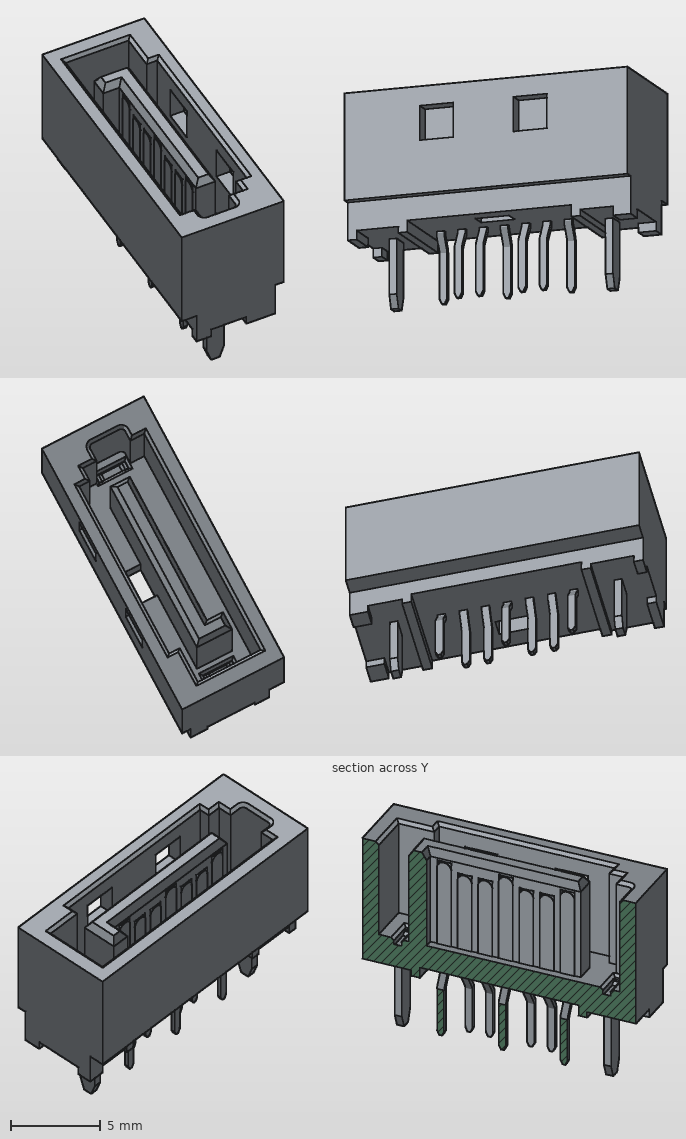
import cadquery as cq
import math


LENGTH = 16.9
WIDTH = 6.45
TOP_Z = 8.38
HALF_LENGTH = LENGTH / 2
HALF_WIDTH = WIDTH / 2

FRONT_LEDGE_Z = TOP_Z - 6.42
BACK_LEDGE_Z = TOP_Z - 6.2
FRONT_INSET = 0.94
BACK_INSET = 0.53
BASE_FRONT_Y = -HALF_WIDTH + FRONT_INSET
BASE_BACK_Y = HALF_WIDTH - BACK_INSET

SIDE_RECESS_Z = 0.52
CENTRE_RECESS_Z = 0.83
RIB_Z = 0.16
LEFT_FOOT_X = -7.4
RIGHT_FOOT_X = 7.92
RIB_OUTER_X = 5.43
RIB_INNER_X = 4.9
FOOT_GAP_FRONT_Y = -1.37
LEFT_FOOT_GAP_BACK_Y = 1.61
RIGHT_FOOT_GAP_BACK_Y = 0.86

FLOOR_Z = TOP_Z - 6.0
LEAD_IN = 0.2
CAVITY_LEFT_X = -7.42
CAVITY_FRONT_Y = -2.27
CAVITY_SHOULDER_Y = 1.69
CAVITY_BACK_Y = 2.36
BACK_BAY_LEFT_X = -5.23
BACK_BAY_RIGHT_X = 5.59
CAVITY_RIGHT_BACK_X = 6.43
CAVITY_RIGHT_FRONT_X = 6.58
TAB_RIGHT_X = 7.44
TAB_BACK_Y = 0.81
TAB_FRONT_Y = -1.39
TAB_RADIUS = 0.25

WINDOW_WIDTH = 2.0
WINDOW_HEIGHT = 2.0
WINDOW_TOP_Z = TOP_Z - 1.13
WINDOW_CENTRE_X = 0.15
WINDOW_OFFSET = 2.8
FLOOR_SLOT_WIDTH = 2.0
FLOOR_SLOT_TOP_Y = 1.75
FLOOR_SLOT_BOTTOM_Y = 1.69

TONGUE_LEFT_X = -5.59
TONGUE_RIGHT_X = 4.82
TONGUE_BACK_Y = 0.79
TONGUE_FRONT_Y = -0.43
KEY_RIGHT_X = -4.47
KEY_FRONT_Y = -1.44
TONGUE_BEVEL = 0.29
TONGUE_BEVEL_HEIGHT = 0.45

CONTACT_COUNT = 7
CONTACT_PITCH = 1.27
CONTACT_CENTRE_X = 0.19
CONTACT_THICKNESS = 0.25
BLADE_WIDTH = 0.88
BLADE_STANDOFF = 0.03
BLADE_TIP_RADIUS = 0.42
TIP_GAP = 0.05
LONG_GROOVE_Z = TOP_Z - 0.6
SHORT_GROOVE_Z = TOP_Z - 1.13
BLADE_FRONT_Y = TONGUE_FRONT_Y - BLADE_STANDOFF
BLADE_BACK_Y = BLADE_FRONT_Y + CONTACT_THICKNESS

TAIL_WIDTH = 0.45
TAIL_END_Z = TOP_Z - 11.63
TAIL_POINT_LENGTH = 0.27
TAIL_POINT_WIDTH = 0.18
FRONT_TAIL_FACE_Y = -0.915
BACK_TAIL_FACE_Y = 0.36
BEND_TOP_Z = TOP_Z - 7.755
FRONT_BEND_DROP = 0.835
BACK_BEND_DROP = 0.94
BEND_INNER_RADIUS = 0.3

HOLD_DOWN_OFFSET = 6.46
HOLD_DOWN_Y = -0.27
HOLD_DOWN_THICKNESS = 0.45
HOLD_DOWN_TAIL_WIDTH = 1.1
HOLD_DOWN_PLATE_WIDTH = 1.84
HOLD_DOWN_END_Z = TOP_Z - 11.85
HOLD_DOWN_POINT_LENGTH = 0.78
HOLD_DOWN_POINT_WIDTH = 0.54
HOLD_DOWN_TOP_Z = FLOOR_Z - 0.3
NOTCH_WIDTH = 1.47
NOTCH_BOTTOM_Z = HOLD_DOWN_TOP_Z - 0.2
POCKET_CHAMFER = 0.17


def box(x_range, y_range, z_range):
    """Axis-aligned block between pairs of coordinates."""
    sizes = [high - low for low, high in (x_range, y_range, z_range)]
    corner = (x_range[0], y_range[0], z_range[0])
    return cq.Workplane("XY").box(*sizes, centered=False).translate(corner)


def side_profile(points, x_range):
    """Extrude a (Y, Z) outline along X."""
    outline = cq.Workplane("YZ", origin=(x_range[0], 0, 0)).polyline(points).close()
    return outline.extrude(x_range[1] - x_range[0])


def span(centre, size):
    return (centre - size / 2, centre + size / 2)


def make_shell():
    profile = [
        (-HALF_WIDTH, TOP_Z),
        (-HALF_WIDTH, FRONT_LEDGE_Z),
        (BASE_FRONT_Y, FRONT_LEDGE_Z),
        (BASE_FRONT_Y, 0),
        (BASE_BACK_Y, 0),
        (BASE_BACK_Y, BACK_LEDGE_Z),
        (HALF_WIDTH, BACK_LEDGE_Z),
        (HALF_WIDTH, TOP_Z),
    ]
    return side_profile(profile, (-HALF_LENGTH, HALF_LENGTH))


def cut_underside(body):
    base_y = (BASE_FRONT_Y, BASE_BACK_Y)
    gap_front = FOOT_GAP_FRONT_Y
    recesses = [
        box((LEFT_FOOT_X, -RIB_OUTER_X), base_y, (0, SIDE_RECESS_Z)),
        box((RIB_OUTER_X, RIGHT_FOOT_X), base_y, (0, SIDE_RECESS_Z)),
        box((-RIB_OUTER_X, RIB_OUTER_X), base_y, (0, RIB_Z)),
        box((-RIB_INNER_X, RIB_INNER_X), base_y, (0, CENTRE_RECESS_Z)),
        box((-HALF_LENGTH, LEFT_FOOT_X), (gap_front, LEFT_FOOT_GAP_BACK_Y), (0, SIDE_RECESS_Z)),
        box((RIGHT_FOOT_X, HALF_LENGTH), (gap_front, RIGHT_FOOT_GAP_BACK_Y), (0, SIDE_RECESS_Z)),
    ]
    for recess in recesses:
        body = body.cut(recess)
    return body


def cut_cavity(body):
    outline = [
        (CAVITY_LEFT_X, CAVITY_FRONT_Y),
        (CAVITY_RIGHT_FRONT_X, CAVITY_FRONT_Y),
        (CAVITY_RIGHT_FRONT_X, TAB_FRONT_Y),
        (TAB_RIGHT_X, TAB_FRONT_Y),
        (TAB_RIGHT_X, TAB_BACK_Y),
        (CAVITY_RIGHT_BACK_X, TAB_BACK_Y),
        (CAVITY_RIGHT_BACK_X, CAVITY_SHOULDER_Y),
        (BACK_BAY_RIGHT_X, CAVITY_SHOULDER_Y),
        (BACK_BAY_RIGHT_X, CAVITY_BACK_Y),
        (BACK_BAY_LEFT_X, CAVITY_BACK_Y),
        (BACK_BAY_LEFT_X, CAVITY_SHOULDER_Y),
        (CAVITY_LEFT_X, CAVITY_SHOULDER_Y),
    ]
    depth = TOP_Z - FLOOR_Z
    cavity = cq.Workplane("XY", origin=(0, 0, FLOOR_Z)).polyline(outline).close().extrude(depth)
    cavity = cavity.edges("|Z").edges(">X").fillet(TAB_RADIUS)
    body = body.cut(cavity)
    rim = body.faces(">Z").val().innerWires()[0]
    return body.newObject(rim.Edges()).chamfer(LEAD_IN)


def cut_wall_and_floor_openings(body):
    window_z = (WINDOW_TOP_Z - WINDOW_HEIGHT, WINDOW_TOP_Z)
    for side in (-1, 1):
        window_x = span(WINDOW_CENTRE_X + side * WINDOW_OFFSET, WINDOW_WIDTH)
        body = body.cut(box(window_x, (CAVITY_BACK_Y, HALF_WIDTH), window_z))
    floor_slot = [
        (TONGUE_BACK_Y, 0),
        (FLOOR_SLOT_BOTTOM_Y, 0),
        (FLOOR_SLOT_TOP_Y, FLOOR_Z),
        (TONGUE_BACK_Y, FLOOR_Z),
    ]
    return body.cut(side_profile(floor_slot, span(CONTACT_CENTRE_X, FLOOR_SLOT_WIDTH)))


def tongue_outline(inset):
    """Corner points of the tongue, with every side moved inward by inset."""
    left_x = TONGUE_LEFT_X + inset
    right_x = TONGUE_RIGHT_X - inset
    back_y = TONGUE_BACK_Y - inset
    front_y = TONGUE_FRONT_Y + inset
    key_right_x = KEY_RIGHT_X - inset
    key_front_y = KEY_FRONT_Y + inset
    return [
        (left_x, back_y),
        (left_x, key_front_y),
        (key_right_x, key_front_y),
        (key_right_x, front_y),
        (right_x, front_y),
        (right_x, back_y),
    ]


def make_tongue():
    bevel_z = TOP_Z - TONGUE_BEVEL_HEIGHT
    straight = cq.Workplane("XY", origin=(0, 0, FLOOR_Z)).polyline(tongue_outline(0)).close()
    bevelled = (
        cq.Workplane("XY", origin=(0, 0, bevel_z))
        .polyline(tongue_outline(0))
        .close()
        .workplane(offset=TONGUE_BEVEL_HEIGHT)
        .polyline(tongue_outline(TONGUE_BEVEL))
        .close()
        .loft(ruled=True)
    )
    return straight.extrude(bevel_z - FLOOR_Z).union(bevelled)


def make_blade(centre_x, tip_z):
    """Flat contact lying in a tongue groove, with a rounded tip."""
    blade = box(span(centre_x, BLADE_WIDTH), (BLADE_FRONT_Y, BLADE_BACK_Y), (FLOOR_Z, tip_z))
    return blade.edges("|Y and >Z").fillet(BLADE_TIP_RADIUS)


def make_tail(centre_x, tail_y, bend_drop):
    """Solder tail that jogs sideways from the blade plane to tail_y and ends in a point."""
    half = CONTACT_THICKNESS / 2
    blade_y = (BLADE_FRONT_Y + BLADE_BACK_Y) / 2
    bend_bottom_z = BEND_TOP_Z - bend_drop
    slope_angle = math.atan((tail_y - blade_y) / bend_drop)
    mitre = half * math.tan(slope_angle / 2)
    profile = [
        (blade_y - half, FLOOR_Z),
        (blade_y - half, BEND_TOP_Z - mitre),
        (tail_y - half, bend_bottom_z - mitre),
        (tail_y - half, TAIL_END_Z),
        (tail_y + half, TAIL_END_Z),
        (tail_y + half, bend_bottom_z + mitre),
        (blade_y + half, BEND_TOP_Z + mitre),
        (blade_y + half, FLOOR_Z),
    ]
    tail = side_profile(profile, span(centre_x, TAIL_WIDTH))
    outer_radius = BEND_INNER_RADIUS + CONTACT_THICKNESS
    if tail_y < blade_y:
        front_radii = (BEND_INNER_RADIUS, outer_radius)
    else:
        front_radii = (outer_radius, BEND_INNER_RADIUS)
    back_radii = front_radii[::-1]
    bends = zip(profile[1:3] + profile[6:4:-1], front_radii + back_radii)
    for (bend_y, bend_z), radius in bends:
        bend_edge = cq.selectors.NearestToPointSelector((centre_x, bend_y, bend_z))
        tail = tail.edges("|X").edges(bend_edge).fillet(radius)
    point_side_z = TAIL_END_Z + TAIL_POINT_LENGTH
    front_outline = [
        (-TAIL_WIDTH / 2, FLOOR_Z),
        (-TAIL_WIDTH / 2, point_side_z),
        (-TAIL_POINT_WIDTH / 2, TAIL_END_Z),
        (TAIL_POINT_WIDTH / 2, TAIL_END_Z),
        (TAIL_WIDTH / 2, point_side_z),
        (TAIL_WIDTH / 2, FLOOR_Z),
    ]
    pointed = cq.Workplane("XZ", origin=(centre_x, 0, 0)).polyline(front_outline).close()
    return tail.intersect(pointed.extrude(WIDTH / 2, both=True))


def add_contacts(body):
    """Contacts 1, 4 and 7 reach higher and have front-row tails; the others are back-row."""
    middle = (CONTACT_COUNT - 1) / 2
    half = CONTACT_THICKNESS / 2
    for index in range(CONTACT_COUNT):
        centre_x = CONTACT_CENTRE_X + (index - middle) * CONTACT_PITCH
        if index % 3 == 0:
            groove_z = LONG_GROOVE_Z
            tail = make_tail(centre_x, FRONT_TAIL_FACE_Y + half, FRONT_BEND_DROP)
        else:
            groove_z = SHORT_GROOVE_Z
            tail = make_tail(centre_x, BACK_TAIL_FACE_Y - half, BACK_BEND_DROP)
        groove_y = (TONGUE_FRONT_Y, BLADE_BACK_Y)
        groove = box(span(centre_x, BLADE_WIDTH), groove_y, (FLOOR_Z, groove_z))
        blade = make_blade(centre_x, groove_z - TIP_GAP)
        body = body.cut(groove).union(blade).union(tail)
    return body


def make_hold_down(centre_x):
    """Plate seated in the floor, with a funnel notch in its top and a tapered board tail below."""
    right_side = [
        (HOLD_DOWN_TAIL_WIDTH / 2, NOTCH_BOTTOM_Z),
        (NOTCH_WIDTH / 2, HOLD_DOWN_TOP_Z),
        (HOLD_DOWN_PLATE_WIDTH / 2, HOLD_DOWN_TOP_Z),
        (HOLD_DOWN_PLATE_WIDTH / 2, SIDE_RECESS_Z),
        (HOLD_DOWN_TAIL_WIDTH / 2, SIDE_RECESS_Z),
        (HOLD_DOWN_TAIL_WIDTH / 2, HOLD_DOWN_END_Z + HOLD_DOWN_POINT_LENGTH),
        (HOLD_DOWN_POINT_WIDTH / 2, HOLD_DOWN_END_Z),
    ]
    left_side = [(-y, z) for y, z in reversed(right_side)]
    plate = side_profile(right_side + left_side, span(centre_x, HOLD_DOWN_THICKNESS))
    return plate.translate((0, HOLD_DOWN_Y, 0))


def add_hold_downs(body):
    for side in (-1, 1):
        centre_x = CONTACT_CENTRE_X + side * HOLD_DOWN_OFFSET
        pocket_x = span(centre_x, HOLD_DOWN_THICKNESS)
        pocket_y = span(HOLD_DOWN_Y, HOLD_DOWN_PLATE_WIDTH)
        pocket = box(pocket_x, pocket_y, (NOTCH_BOTTOM_Z, FLOOR_Z))
        lead_in = (
            cq.Workplane("XY", origin=(centre_x, HOLD_DOWN_Y, FLOOR_Z))
            .rect(HOLD_DOWN_THICKNESS + 2 * POCKET_CHAMFER, HOLD_DOWN_PLATE_WIDTH + 2 * POCKET_CHAMFER)
            .workplane(offset=-POCKET_CHAMFER)
            .rect(HOLD_DOWN_THICKNESS, HOLD_DOWN_PLATE_WIDTH)
            .loft(ruled=True)
        )
        body = body.cut(pocket).cut(lead_in).union(make_hold_down(centre_x))
    return body


housing = make_shell()
housing = cut_underside(housing)
housing = cut_cavity(housing)
housing = cut_wall_and_floor_openings(housing)
housing = housing.union(make_tongue())
housing = add_contacts(housing)
result = add_hold_downs(housing)